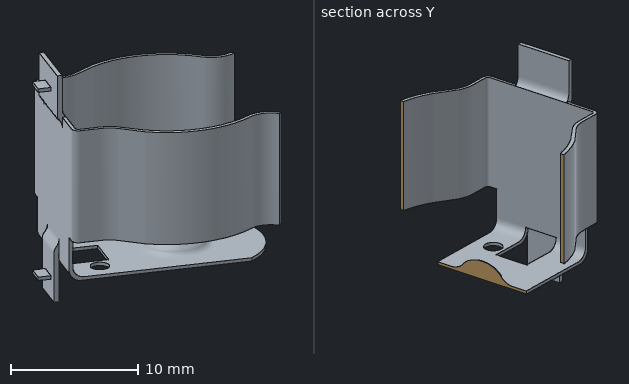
import cadquery as cq
import math


sheet = 0.3

clip_bottom = 3.74
clip_top = 13.27
clip_half_width = 5.62
corner_radius = 0.55
belly_radius = 8.28
belly_center_y = 9.33
arm_thickness = 0.36
neck_start_y = 2.2
neck_end_y = 3.54
neck_end_x = 6.0
shank_end_y = 5.38
lip_angle = 36.5
lip_radius = 1.95
lip_tip_angle = 37.5

floor_half_width = 4.42
floor_tip_y = 17.26
floor_shoulder_y = 15.0
bend_outer_radius = 0.98
bend_inner_radius = 0.94
slot_width = 3.04
slot_end_y = 4.1
hole_diameter = 1.51
hole_x = 2.61
hole_y = 3.06

dome_y = 9.85
dome_foot_radius = 3.58
dome_waist_radius = 2.72
dome_flat_radius = 0.92
dome_waist_z = 0.86
dome_top_z = 1.91

tab_thickness = 0.42
upper_tab_width = 5.08
upper_tab_top = 16.84
upper_tab_root = 12.41
upper_tab_heel = 13.19
upper_tab_throat = 14.0
lower_tab_width = 3.23
lower_tab_bottom = -2.82
lower_tab_root = 2.53
lower_tab_waist = 1.97
lower_tab_waist_depth = 0.18
lower_tab_heel = 1.33
pin_width = 1.58
pin_thickness = 0.3
pin_length = 1.05
pin_inset = 1.82


def polar(center, radius, degrees):
    """Point on a circle, measured counterclockwise from the first axis."""
    angle = math.radians(degrees)
    return center[0] + radius * math.cos(angle), center[1] + radius * math.sin(angle)


def upright_arc_middle(start, end):
    """Middle of the arc that leaves start along the second axis and reaches end."""
    across = end[0] - start[0]
    along = end[1] - start[1]
    half_turn = math.atan2(abs(across), abs(along))
    radius = math.hypot(across, along) / (2 * math.sin(half_turn))
    middle_across = math.copysign(radius * (1 - math.cos(half_turn)), across)
    middle_along = math.copysign(radius * math.sin(half_turn), along)
    return start[0] + middle_across, start[1] + middle_along


def extrude_across(profile, width):
    """Extrude a profile drawn in the YZ plane evenly to both sides of X = 0."""
    return profile.extrude(width / 2, both=True)


def make_clip_half():
    """Right half of the back wall with its arm."""
    belly_center = (0, belly_center_y)
    inner_belly_radius = belly_radius - arm_thickness
    inner_half_width = clip_half_width - sheet
    inner_corner_radius = corner_radius - sheet
    corner_center = (clip_half_width - corner_radius, corner_radius)

    outer_neck_start = (clip_half_width, neck_start_y)
    inner_neck_start = (inner_half_width, neck_start_y)
    outer_neck_end = (neck_end_x, neck_end_y)
    inner_neck_end = (neck_end_x - arm_thickness, neck_end_y)

    shank_drop = belly_center_y - shank_end_y
    outer_shank_end = (math.sqrt(belly_radius**2 - shank_drop**2), shank_end_y)
    inner_shank_end = (math.sqrt(inner_belly_radius**2 - shank_drop**2), shank_end_y)

    lip_center = polar(belly_center, belly_radius + lip_radius, lip_angle)
    lip_inner_radius = lip_radius + arm_thickness
    lip_end = 180 - lip_tip_angle

    return (
        cq.Workplane("XY")
        .workplane(offset=clip_bottom)
        .moveTo(0, 0)
        .lineTo(corner_center[0], 0)
        .threePointArc(polar(corner_center, corner_radius, -45), (clip_half_width, corner_radius))
        .lineTo(*outer_neck_start)
        .threePointArc(upright_arc_middle(outer_neck_start, outer_neck_end), outer_neck_end)
        .lineTo(*outer_shank_end)
        .threePointArc((belly_radius, belly_center_y), polar(belly_center, belly_radius, lip_angle))
        .threePointArc(polar(lip_center, lip_radius, 180), polar(lip_center, lip_radius, lip_end))
        .lineTo(*polar(lip_center, lip_inner_radius, lip_end))
        .threePointArc(
            polar(lip_center, lip_inner_radius, 180),
            polar(belly_center, inner_belly_radius, lip_angle),
        )
        .threePointArc((inner_belly_radius, belly_center_y), inner_shank_end)
        .lineTo(*inner_neck_end)
        .threePointArc(upright_arc_middle(inner_neck_start, inner_neck_end), inner_neck_start)
        .lineTo(inner_half_width, corner_radius)
        .threePointArc(polar(corner_center, inner_corner_radius, -45), (corner_center[0], sheet))
        .lineTo(0, sheet)
        .close()
        .extrude(clip_top - clip_bottom)
    )


def make_clip():
    half = make_clip_half()
    return half.union(half.mirror("YZ"))


def make_floor():
    """Floor that bends up into the lower part of the back wall."""
    outer_center = (bend_outer_radius, bend_outer_radius)
    inner_tangent = sheet + bend_inner_radius
    inner_center = (inner_tangent, inner_tangent)
    strip = extrude_across(
        cq.Workplane("YZ")
        .moveTo(floor_tip_y, 0)
        .lineTo(bend_outer_radius, 0)
        .threePointArc(polar(outer_center, bend_outer_radius, 225), (0, bend_outer_radius))
        .lineTo(0, clip_bottom)
        .lineTo(sheet, clip_bottom)
        .lineTo(sheet, inner_tangent)
        .threePointArc(polar(inner_center, bend_inner_radius, 225), (inner_tangent, sheet))
        .lineTo(floor_tip_y, sheet)
        .close(),
        2 * floor_half_width,
    )
    rounded_end = (
        cq.Workplane("XY")
        .moveTo(-floor_half_width, 0)
        .lineTo(floor_half_width, 0)
        .lineTo(floor_half_width, floor_shoulder_y)
        .threePointArc((0, floor_tip_y), (-floor_half_width, floor_shoulder_y))
        .close()
        .extrude(clip_bottom)
    )
    slot = cq.Workplane("XY").box(slot_width, slot_end_y, inner_tangent, centered=(True, False, False))
    hole = cq.Workplane("XY").center(hole_x, hole_y).circle(hole_diameter / 2).extrude(sheet)
    return strip.intersect(rounded_end).cut(slot).cut(hole)


def make_dome():
    """Solid dome with a concave foot and a small flat on top."""
    crown_drop = dome_top_z - dome_waist_z
    crown_reach = dome_waist_radius - dome_flat_radius
    crown_radius = (crown_drop**2 + crown_reach**2) / (2 * crown_drop)
    crown_sweep = math.degrees(math.asin(crown_reach / crown_radius))
    crown_center = (dome_flat_radius, dome_top_z - crown_radius)

    foot_rise = dome_waist_z - sheet
    foot_reach = dome_foot_radius - dome_waist_radius
    foot_radius = (foot_rise**2 + foot_reach**2) / (2 * foot_rise)
    foot_sweep = math.degrees(math.asin(foot_reach / foot_radius))
    foot_center = (dome_foot_radius, sheet + foot_radius)

    return (
        cq.Workplane("XZ")
        .moveTo(0, 0)
        .lineTo(dome_foot_radius, 0)
        .lineTo(dome_foot_radius, sheet)
        .threePointArc(
            polar(foot_center, foot_radius, 270 - foot_sweep / 2),
            (dome_waist_radius, dome_waist_z),
        )
        .threePointArc(
            polar(crown_center, crown_radius, 90 - crown_sweep / 2),
            (dome_flat_radius, dome_top_z),
        )
        .lineTo(0, dome_top_z)
        .close()
        .revolve(360, (0, 0, 0), (0, 1, 0))
        .translate((0, dome_y, 0))
    )


def make_upper_tab():
    """Tab that steps outward from the top edge of the back wall."""
    root = (0, upper_tab_root)
    heel = (-tab_thickness, upper_tab_heel)
    throat = (0, upper_tab_throat)
    wall_edge = (sheet, clip_top)
    return extrude_across(
        cq.Workplane("YZ")
        .moveTo(*root)
        .threePointArc(upright_arc_middle(root, heel), heel)
        .lineTo(-tab_thickness, upper_tab_top)
        .lineTo(0, upper_tab_top)
        .lineTo(*throat)
        .threePointArc(upright_arc_middle(throat, wall_edge), wall_edge)
        .lineTo(sheet, upper_tab_root)
        .close(),
        upper_tab_width,
    )


def make_lower_tab():
    """Tab that leaves the back wall in an S-curve and hangs below the floor."""
    root = (0, lower_tab_root)
    waist = (-lower_tab_waist_depth, lower_tab_waist)
    heel = (-tab_thickness, lower_tab_heel)
    return extrude_across(
        cq.Workplane("YZ")
        .moveTo(*root)
        .threePointArc(upright_arc_middle(root, waist), waist)
        .threePointArc(upright_arc_middle(heel, waist), heel)
        .lineTo(-tab_thickness, lower_tab_bottom)
        .lineTo(0, lower_tab_bottom)
        .close(),
        lower_tab_width,
    )


def make_pin(z):
    """Flat pin standing out from a tab."""
    pin_center_y = -tab_thickness - pin_length / 2
    return cq.Workplane("XY").box(pin_width, pin_length, pin_thickness).translate((0, pin_center_y, z))


result = make_clip().union(make_floor()).union(make_dome())
result = result.union(make_upper_tab()).union(make_lower_tab())
for pin_z in (upper_tab_top - pin_inset, lower_tab_bottom + pin_inset):
    result = result.union(make_pin(pin_z))